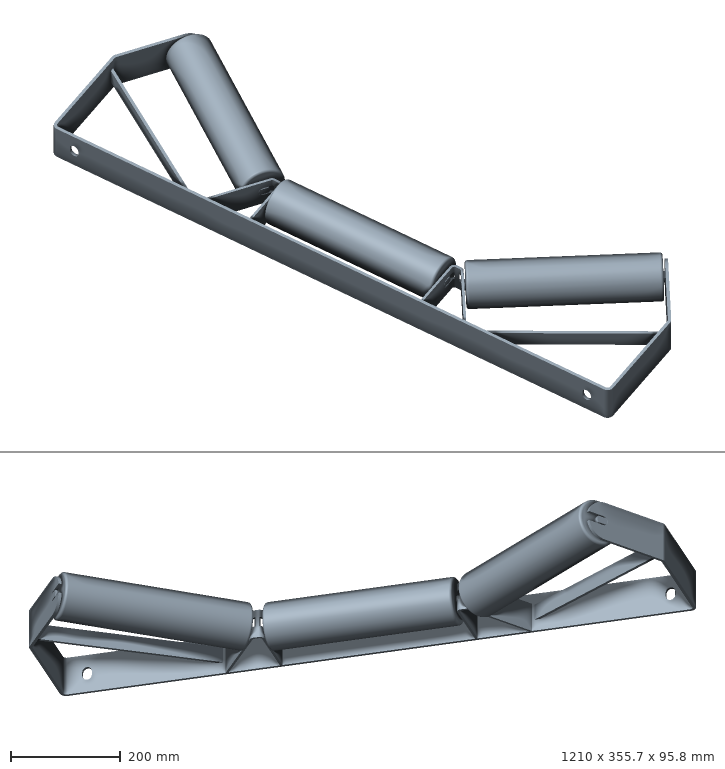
import cadquery as cq
import math


frame_length = 1210.0
strip_thickness = 6.0
strip_height = 75.0
arm_bend_y = 208.0
arm_length = 175.0
arm_lean = math.radians(35)
strip_bend_radius = 12.0
mounting_slot_inset = 50.0
mounting_slot_width = 18.0
mounting_slot_height = 25.0

roller_diameter = 90.0
roller_length = 360.0
roller_edge_radius = 5.0
roller_drop = 6.0
end_gap = 3.0
shaft_diameter = 22.0
shaft_flat_width = 13.0
center_roller_y = 102.0
side_roller_along_arm = 144.0

shaft_slot_width = 18.0
shaft_slot_seat = 12.0

bracket_thickness = 5.0
bracket_height = 56.0
bracket_top_y = 127.0
bracket_bend_radius = 10.0

strut_thickness = 6.0
strut_height = 30.0
strut_wall_y = 198.0
strut_foot_x = -296.0

half_length = frame_length / 2
sin_lean = math.sin(arm_lean)
cos_lean = math.cos(arm_lean)
wall_to_wall = roller_length + 2 * end_gap
bracket_face_inward = strip_thickness + wall_to_wall
leg_inner_x = -wall_to_wall / 2
leg_outer_x = leg_inner_x - bracket_thickness
strip_bottom_z = -strip_height / 2
arm_normal = (-cos_lean, sin_lean, 0)
leg_normal = (-1, 0, 0)


def arm_point(along, inward):
    """Plan point at a distance along the left arm and inward from its outer face."""
    x = -half_length + along * sin_lean + inward * cos_lean
    y = arm_bend_y + along * cos_lean - inward * sin_lean
    return (x, y)


def point_at_y(inward, y):
    """Plan point at height y on the line parallel to the left arm, inward from its outer face."""
    along = (y - arm_bend_y + inward * sin_lean) / cos_lean
    return arm_point(along, inward)


def mirrored_pair(left):
    return [left, left.mirror("YZ")]


def extruded_outline(points, bottom_z, height):
    return cq.Workplane("XY").workplane(offset=bottom_z).polyline(points).close().extrude(height)


def rounded_bend(strip, outer_corner, inner_corner, radius, thickness):
    """Round both upright edges of a strip's bend, keeping the thickness constant."""
    mid_z = strip.val().BoundingBox().center.z
    for (x, y), edge_radius in ((outer_corner, radius), (inner_corner, radius - thickness)):
        nearest_edge = cq.selectors.NearestToPointSelector((x, y, mid_z))
        strip = strip.edges(nearest_edge).fillet(edge_radius)
    return strip


def shaft_slot(seat, wall_normal, z, thickness):
    """Cutter through one wall: a slot with a round seat, open upwards along the wall."""
    plane = cq.Plane(origin=(seat[0], seat[1], z), xDir=(0, 0, 1), normal=wall_normal)
    radius = shaft_slot_width / 2
    seat_center = radius - shaft_slot_seat
    open_end = arm_length
    return (
        cq.Workplane(plane)
        .moveTo(-radius, open_end)
        .lineTo(-radius, seat_center)
        .threePointArc((0, -shaft_slot_seat), (radius, seat_center))
        .lineTo(radius, open_end)
        .close()
        .extrude(thickness, both=True)
    )


def build_frame():
    inner_x = -half_length + strip_thickness
    inner_bend = (inner_x, arm_bend_y - strip_thickness * math.tan(arm_lean / 2))
    half = extruded_outline(
        [
            (0, 0),
            (-half_length, 0),
            (-half_length, arm_bend_y),
            arm_point(arm_length, 0),
            arm_point(arm_length, strip_thickness),
            inner_bend,
            (inner_x, strip_thickness),
            (0, strip_thickness),
        ],
        strip_bottom_z,
        strip_height,
    )
    half = rounded_bend(
        half, (-half_length, 0), (inner_x, strip_thickness), strip_bend_radius, strip_thickness
    )
    half = rounded_bend(
        half, (-half_length, arm_bend_y), inner_bend, strip_bend_radius, strip_thickness
    )

    tip_radius = strip_height / 2
    tip_plane = cq.Plane(
        origin=(*arm_point(arm_length - tip_radius, 0), 0), xDir=(0, 0, 1), normal=arm_normal
    )
    tip_corners = (
        cq.Workplane(tip_plane)
        .moveTo(-tip_radius, 0)
        .lineTo(-tip_radius, strip_height)
        .lineTo(tip_radius, strip_height)
        .lineTo(tip_radius, 0)
        .threePointArc((0, tip_radius), (-tip_radius, 0))
        .close()
        .extrude(strip_height, both=True)
    )
    half = half.cut(tip_corners)

    seat = arm_point(side_roller_along_arm, strip_thickness / 2)
    half = half.cut(shaft_slot(seat, arm_normal, 0, strip_thickness))

    mounting_slot = (
        cq.Workplane("XZ")
        .center(-half_length + mounting_slot_inset, 0)
        .slot2D(mounting_slot_height, mounting_slot_width, 90)
        .extrude(strip_thickness, both=True)
    )
    half = half.cut(mounting_slot)
    return half.union(half.mirror("YZ"))


def build_bracket():
    near = bracket_face_inward
    far = bracket_face_inward + bracket_thickness
    under_y = bracket_top_y - bracket_thickness
    outline = [
        point_at_y(near, strip_thickness),
        point_at_y(near, bracket_top_y),
        (leg_inner_x, bracket_top_y),
        (leg_inner_x, strip_thickness),
        (leg_outer_x, strip_thickness),
        (leg_outer_x, under_y),
        point_at_y(far, under_y),
        point_at_y(far, strip_thickness),
    ]
    bracket = extruded_outline(outline, strip_bottom_z, bracket_height)
    for outer, inner in ((outline[1], outline[6]), (outline[2], outline[5])):
        bracket = rounded_bend(bracket, outer, inner, bracket_bend_radius, bracket_thickness)
    seat_z = -roller_drop
    side_seat = arm_point(side_roller_along_arm, near + bracket_thickness / 2)
    center_seat = (leg_inner_x - bracket_thickness / 2, center_roller_y)
    bracket = bracket.cut(shaft_slot(side_seat, arm_normal, seat_z, bracket_thickness))
    return bracket.cut(shaft_slot(center_seat, leg_normal, seat_z, bracket_thickness))


def build_strut():
    inner_x = -half_length + strip_thickness
    slope = math.atan2(strut_wall_y - strip_thickness, strut_foot_x - inner_x)
    outline = [
        (inner_x, strut_wall_y),
        (strut_foot_x, strip_thickness),
        (strut_foot_x - strut_thickness / math.sin(slope), strip_thickness),
        (inner_x, strut_wall_y - strut_thickness / math.cos(slope)),
    ]
    return extruded_outline(outline, -strut_height / 2, strut_height)


def build_roller(start_wall, end_wall):
    """Roller along +X, its first shaft end at the origin, passing through both walls."""
    shaft_length = start_wall + wall_to_wall + end_wall
    drum = (
        cq.Workplane("YZ")
        .workplane(offset=start_wall + end_gap)
        .circle(roller_diameter / 2)
        .extrude(roller_length)
        .edges()
        .fillet(roller_edge_radius)
    )
    shaft = cq.Workplane("YZ").circle(shaft_diameter / 2).extrude(shaft_length)
    flats = cq.Workplane("YZ").rect(shaft_diameter, shaft_flat_width).extrude(shaft_length)
    return drum.union(shaft.intersect(flats))


def build_side_roller():
    tilt = math.degrees(math.asin(roller_drop / roller_length))
    x, y = arm_point(side_roller_along_arm, 0)
    return (
        build_roller(strip_thickness, bracket_thickness)
        .rotate((0, 0, 0), (0, 1, 0), tilt)
        .rotate((0, 0, 0), (0, 0, 1), -math.degrees(arm_lean))
        .translate((x, y, 0))
    )


frame = build_frame()
brackets = mirrored_pair(build_bracket())
struts = mirrored_pair(build_strut())
center_roller = build_roller(bracket_thickness, bracket_thickness).translate(
    (leg_outer_x, center_roller_y, -roller_drop)
)
side_rollers = mirrored_pair(build_side_roller())

bodies = [frame, center_roller, *brackets, *struts, *side_rollers]
result = cq.Compound.makeCompound([body.val() for body in bodies])